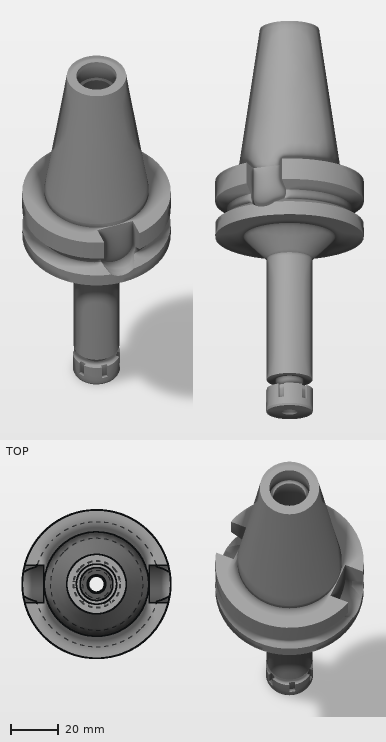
import cadquery as cq

TOTAL_HEIGHT = 170.4
GAUGE_Z = 105.0
FLANGE_TOP_Z = 103.0
FLANGE_BOTTOM_Z = 78.0
GROOVE_UPPER_RIM_Z = 93.7
GROOVE_LOWER_RIM_Z = 83.8
SHANK_BOTTOM_Z = 14.3

TAPER_TOP_RADIUS = 12.6
GAUGE_RADIUS = 22.2
FLANGE_RADIUS = 31.5
GROOVE_RADIUS = 26.5
SHANK_RADIUS = 9.7
NECK_RADIUS = 6.0

GROOVE_BEVEL_HEIGHT = 3.0
CONE_HEIGHT = 9.9
CONE_TOP_RADIUS = SHANK_RADIUS + CONE_HEIGHT

MOUTH_RADIUS = 8.5
MOUTH_DEPTH = 9.0
THREAD_BORE_RADIUS = 7.0
THREAD_BORE_DEPTH = 34.0
COOLANT_RADIUS = 4.0

DRIVE_SLOT_WIDTH = 16.0
DRIVE_SLOT_BOTTOM_Z = 82.1
DRIVE_SLOT_FLOOR_X = 22.3

NUT_RADIUS = 10.0
NUT_HEIGHT = 9.9
NUT_CHAMFER_HEIGHT = 0.9
NUT_CHAMFER_INSET = 0.3
NUT_FLOOR = 3.7
NUT_HOLE_RADIUS = 3.4
WRENCH_SLOT_COUNT = 6
WRENCH_SLOT_WIDTH = 2.5
WRENCH_SLOT_DEPTH = 1.4


def cylinder(radius, bottom_z, top_z):
    """Cylinder on the Z axis between two heights."""
    return cq.Workplane("XY").workplane(offset=bottom_z).circle(radius).extrude(top_z - bottom_z)


def revolve_section(half_section):
    """Solid of revolution about the Z axis from (radius, height) points."""
    return cq.Workplane("XZ").polyline(half_section).close().revolve(360, (0, 0, 0), (0, 1, 0))


def make_holder_blank():
    """Turned outside shape: neck, shank, cone, grooved flange and taper."""
    half_section = [
        (0, NUT_FLOOR),
        (NECK_RADIUS, NUT_FLOOR),
        (NECK_RADIUS, SHANK_BOTTOM_Z),
        (SHANK_RADIUS, SHANK_BOTTOM_Z),
        (SHANK_RADIUS, FLANGE_BOTTOM_Z - CONE_HEIGHT),
        (CONE_TOP_RADIUS, FLANGE_BOTTOM_Z),
        (FLANGE_RADIUS, FLANGE_BOTTOM_Z),
        (FLANGE_RADIUS, GROOVE_LOWER_RIM_Z),
        (GROOVE_RADIUS, GROOVE_LOWER_RIM_Z + GROOVE_BEVEL_HEIGHT),
        (GROOVE_RADIUS, GROOVE_UPPER_RIM_Z - GROOVE_BEVEL_HEIGHT),
        (FLANGE_RADIUS, GROOVE_UPPER_RIM_Z),
        (FLANGE_RADIUS, FLANGE_TOP_Z),
        (GAUGE_RADIUS, FLANGE_TOP_Z),
        (GAUGE_RADIUS, GAUGE_Z),
        (TAPER_TOP_RADIUS, TOTAL_HEIGHT),
        (0, TOTAL_HEIGHT),
    ]
    return revolve_section(half_section)


def make_holder_bore():
    """Through bore that widens in two steps towards the taper end."""
    coolant = cylinder(COOLANT_RADIUS, NUT_FLOOR, TOTAL_HEIGHT)
    thread = cylinder(THREAD_BORE_RADIUS, TOTAL_HEIGHT - THREAD_BORE_DEPTH, TOTAL_HEIGHT)
    mouth = cylinder(MOUTH_RADIUS, TOTAL_HEIGHT - MOUTH_DEPTH, TOTAL_HEIGHT)
    return coolant.union(thread).union(mouth)


def make_drive_slot():
    """Cutter for the drive slot on the +X side of the flange."""
    half_width = DRIVE_SLOT_WIDTH / 2
    arc_center_z = DRIVE_SLOT_BOTTOM_Z + half_width
    return (
        cq.Workplane("YZ")
        .workplane(offset=DRIVE_SLOT_FLOOR_X)
        .moveTo(-half_width, FLANGE_TOP_Z)
        .lineTo(-half_width, arc_center_z)
        .threePointArc((0, DRIVE_SLOT_BOTTOM_Z), (half_width, arc_center_z))
        .lineTo(half_width, FLANGE_TOP_Z)
        .close()
        .extrude(FLANGE_RADIUS - DRIVE_SLOT_FLOOR_X)
    )


def make_holder():
    """Tool holder with its bore and two opposite drive slots."""
    holder = make_holder_blank().cut(make_holder_bore())
    for angle in (0, 180):
        holder = holder.cut(make_drive_slot().rotate((0, 0, 0), (0, 0, 1), angle))
    return holder


def make_wrench_slot():
    """Cutter for the wrench slot on the +X side of the nut, open at the top."""
    return (
        cq.Workplane("XY")
        .workplane(offset=NUT_FLOOR)
        .center(NUT_RADIUS, 0)
        .rect(2 * WRENCH_SLOT_DEPTH, WRENCH_SLOT_WIDTH)
        .extrude(NUT_HEIGHT - NUT_FLOOR)
    )


def make_nut_blank():
    """Turned outside shape of the nut with a steep chamfer at the bottom."""
    half_section = [
        (0, 0),
        (NUT_RADIUS - NUT_CHAMFER_INSET, 0),
        (NUT_RADIUS, NUT_CHAMFER_HEIGHT),
        (NUT_RADIUS, NUT_HEIGHT),
        (0, NUT_HEIGHT),
    ]
    return revolve_section(half_section)


def make_nut():
    """Slotted nut whose recess fits the neck of the holder."""
    nut = make_nut_blank()
    nut = nut.cut(cylinder(NECK_RADIUS, NUT_FLOOR, NUT_HEIGHT))
    nut = nut.cut(cylinder(NUT_HOLE_RADIUS, 0, NUT_FLOOR))
    for index in range(WRENCH_SLOT_COUNT):
        angle = index * 360 / WRENCH_SLOT_COUNT
        nut = nut.cut(make_wrench_slot().rotate((0, 0, 0), (0, 0, 1), angle))
    return nut


holder = make_holder()
nut = make_nut()

result = cq.Compound.makeCompound([holder.val(), nut.val()])